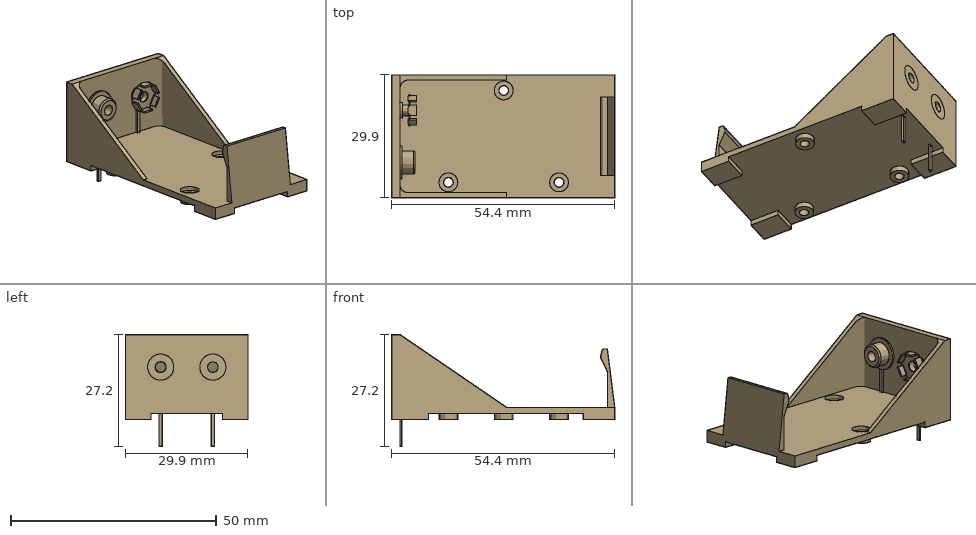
import cadquery as cq

LENGTH = 54.35
WIDTH = 29.95
WALL_HEIGHT = 20.7
WALL_THICKNESS = 2.0
CHEEK_THICKNESS = 1.25
CHEEK_LENGTH = 28.0
FLOOR_TOP = 3.0
CORNER_RADIUS = 2.0

FOOT_HEIGHT = 1.4
FOOT_WIDTH = 6.3
REAR_FOOT_LENGTH = 8.95
FRONT_FOOT_LENGTH = 7.7

SCREW_DIAMETER = 2.3
BOSS_DIAMETER = 4.55
COUNTERBORE_DEPTH = 1.0
SCREW_Y = 11.2
SCREW_CENTERS = [(13.8, -SCREW_Y), (27.3, SCREW_Y), (40.75, -SCREW_Y)]

LATCH_WIDTH = 19.15
LATCH_TOP = 17.25
LATCH_FACE_X = 52.55
LATCH_TIP_X = 50.95
LATCH_CROWN_X = 51.3
LATCH_TIP_HIGH = 15.55
LATCH_TIP_LOW = 15.0
LATCH_RAMP_START = 11.6
LATCH_ROUNDING = 0.55

TERMINAL_Y = 6.35
TERMINAL_Z = 12.8
HEAD_DIAMETER = 6.35
HEAD_THICKNESS = 1.0
SHANK_DIAMETER = 3.8
BORE_DIAMETER = 2.55

STUD_FLANGE_DIAMETER = 7.95
STUD_FLANGE_THICKNESS = 0.5
STUD_DIAMETER = 5.7
STUD_END_DIAMETER = 4.95
STUD_CHAMFER = (STUD_DIAMETER - STUD_END_DIAMETER) / 2
STUD_END_X = 5.7

COLLAR_END_X = 2.65
NECK_DIAMETER = 2.65
PETAL_COUNT = 6
PETAL_WIDTH = 2.5
PETAL_THICKNESS = 0.45
PETAL_OUTER_RADIUS = 3.5
PETAL_END_X = 6.1
PETAL_ROOT_X = 4.2
PETAL_ROOT_BULGE = 0.25
HEXAGON_CORNER_RADIUS = 3.85
HEXAGON_START_X = 4.25
HEXAGON_THICKNESS = 0.25

PIN_WIDTH = 0.8
PIN_THICKNESS = STUD_FLANGE_THICKNESS
PIN_DROP = 6.5


def box(x_min, x_max, y_min, y_max, z_min, z_max):
    """Box between two opposite corners."""
    size = (x_max - x_min, y_max - y_min, z_max - z_min)
    return cq.Workplane("XY").box(*size, centered=False).translate((x_min, y_min, z_min))


def x_disc(diameter, x_start, x_end, y):
    """Cylinder along X, on the axis of the terminal at the given y."""
    return (
        cq.Workplane("YZ", origin=(x_start, y, TERMINAL_Z))
        .circle(diameter / 2)
        .extrude(x_end - x_start)
    )


def extrude_side_profile(points, width):
    """Extrude an XZ outline symmetrically about the Y = 0 plane."""
    return cq.Workplane("XZ").polyline(points).close().extrude(width / 2, both=True)


def make_tray():
    """Sloped block, hollowed above the floor between the cheeks."""
    tray = extrude_side_profile(
        [
            (0, 0),
            (LENGTH, 0),
            (LENGTH, FLOOR_TOP),
            (CHEEK_LENGTH, FLOOR_TOP),
            (WALL_THICKNESS, WALL_HEIGHT),
            (0, WALL_HEIGHT),
        ],
        WIDTH,
    )
    inner_y = WIDTH / 2 - CHEEK_THICKNESS
    pocket = box(WALL_THICKNESS, LENGTH, -inner_y, inner_y, FLOOR_TOP, WALL_HEIGHT)
    return tray.cut(pocket.edges("|Z and <X").fillet(CORNER_RADIUS))


def cut_foot_channels(tray):
    """Remove the lengthwise and crosswise channels between the four feet."""
    channel_y = WIDTH / 2 - FOOT_WIDTH
    lengthwise = box(0, LENGTH, -channel_y, channel_y, 0, FOOT_HEIGHT)
    crosswise = box(
        REAR_FOOT_LENGTH, LENGTH - FRONT_FOOT_LENGTH, -WIDTH / 2, WIDTH / 2, 0, FOOT_HEIGHT
    )
    return tray.cut(lengthwise).cut(crosswise)


def screw_cylinders(diameter, z_min, z_max):
    """One upright cylinder at each screw position."""
    return (
        cq.Workplane("XY", origin=(0, 0, z_min))
        .pushPoints(SCREW_CENTERS)
        .circle(diameter / 2)
        .extrude(z_max - z_min)
    )


def add_screw_holes(tray):
    """Add a boss under the floor at each screw, then bore and counterbore it."""
    bosses = screw_cylinders(BOSS_DIAMETER, 0, FOOT_HEIGHT)
    bores = screw_cylinders(SCREW_DIAMETER, 0, FLOOR_TOP)
    counterbores = screw_cylinders(BOSS_DIAMETER, FLOOR_TOP - COUNTERBORE_DEPTH, FLOOR_TOP)
    return tray.union(bosses).cut(bores).cut(counterbores)


def make_latch():
    """Tapered upright with a hooked lip, rounded at its upper edge."""
    latch = extrude_side_profile(
        [
            (LATCH_FACE_X, FLOOR_TOP),
            (LENGTH, FLOOR_TOP),
            (LATCH_FACE_X, LATCH_TOP),
            (LATCH_CROWN_X, LATCH_TOP),
            (LATCH_TIP_X, LATCH_TIP_HIGH),
            (LATCH_TIP_X, LATCH_TIP_LOW),
            (LATCH_FACE_X, LATCH_RAMP_START),
        ],
        LATCH_WIDTH,
    )
    return latch.faces(">Z").edges("<X").fillet(LATCH_ROUNDING)


def cut_terminal_hole(housing, y):
    """Cut the stepped wall hole that a terminal fills."""
    head_recess = x_disc(HEAD_DIAMETER, 0, HEAD_THICKNESS, y)
    shank_hole = x_disc(SHANK_DIAMETER, 0, WALL_THICKNESS, y)
    return housing.cut(head_recess).cut(shank_hole)


def make_housing(pins):
    housing = add_screw_holes(cut_foot_channels(make_tray())).union(make_latch())
    for y in (TERMINAL_Y, -TERMINAL_Y):
        housing = cut_terminal_hole(housing, y)
    for pin in pins:
        housing = housing.cut(pin)
    return housing


def make_shank(y):
    """Flush head and shank that seat a terminal in the wall."""
    head = x_disc(HEAD_DIAMETER, 0, HEAD_THICKNESS, y)
    return head.union(x_disc(SHANK_DIAMETER, 0, WALL_THICKNESS, y))


def cut_bore(terminal, y):
    """Open the bore that runs through the whole terminal."""
    return terminal.cut(x_disc(BORE_DIAMETER, 0, PETAL_END_X, y))


def make_negative_terminal(y):
    flange_end = WALL_THICKNESS + STUD_FLANGE_THICKNESS
    flange = x_disc(STUD_FLANGE_DIAMETER, WALL_THICKNESS, flange_end, y)
    stud = x_disc(STUD_DIAMETER, WALL_THICKNESS, STUD_END_X, y)
    stud = stud.faces(">X").chamfer(STUD_CHAMFER)
    return cut_bore(make_shank(y).union(flange).union(stud), y)


def make_petal(y, angle):
    """Flat blade with an arched root edge, turned about the terminal axis."""
    half_width = PETAL_WIDTH / 2
    inner_face_z = TERMINAL_Z + PETAL_OUTER_RADIUS - PETAL_THICKNESS
    blade = (
        cq.Workplane("XY", origin=(0, y, inner_face_z))
        .moveTo(PETAL_ROOT_X, half_width)
        .threePointArc((PETAL_ROOT_X - PETAL_ROOT_BULGE, 0), (PETAL_ROOT_X, -half_width))
        .lineTo(PETAL_END_X, -half_width)
        .lineTo(PETAL_END_X, half_width)
        .close()
        .extrude(PETAL_THICKNESS)
    )
    return blade.rotate((0, y, TERMINAL_Z), (1, y, TERMINAL_Z), angle)


def make_positive_terminal(y):
    collar = x_disc(SHANK_DIAMETER, WALL_THICKNESS, COLLAR_END_X, y)
    neck = x_disc(NECK_DIAMETER, COLLAR_END_X, HEXAGON_START_X, y)
    hexagon = (
        cq.Workplane("YZ", origin=(HEXAGON_START_X, y, TERMINAL_Z))
        .polygon(PETAL_COUNT, 2 * HEXAGON_CORNER_RADIUS)
        .extrude(HEXAGON_THICKNESS)
    )
    terminal = make_shank(y).union(collar).union(neck).union(hexagon)
    for index in range(PETAL_COUNT):
        terminal = terminal.union(make_petal(y, index * 360 / PETAL_COUNT))
    return cut_bore(terminal, y)


def make_pin(y, flange_diameter):
    """Flat pin against the wall, rising through the floor to the lowest point of the flange."""
    return box(
        WALL_THICKNESS,
        WALL_THICKNESS + PIN_THICKNESS,
        y - PIN_WIDTH / 2,
        y + PIN_WIDTH / 2,
        -PIN_DROP,
        TERMINAL_Z - flange_diameter / 2,
    )


positive_pin = make_pin(TERMINAL_Y, SHANK_DIAMETER)
negative_pin = make_pin(-TERMINAL_Y, STUD_FLANGE_DIAMETER)
housing = make_housing([positive_pin, negative_pin])
positive_terminal = make_positive_terminal(TERMINAL_Y)
negative_terminal = make_negative_terminal(-TERMINAL_Y)

result = cq.Compound.makeCompound(
    [
        housing.val(),
        positive_terminal.val(),
        negative_terminal.val(),
        positive_pin.val(),
        negative_pin.val(),
    ]
)